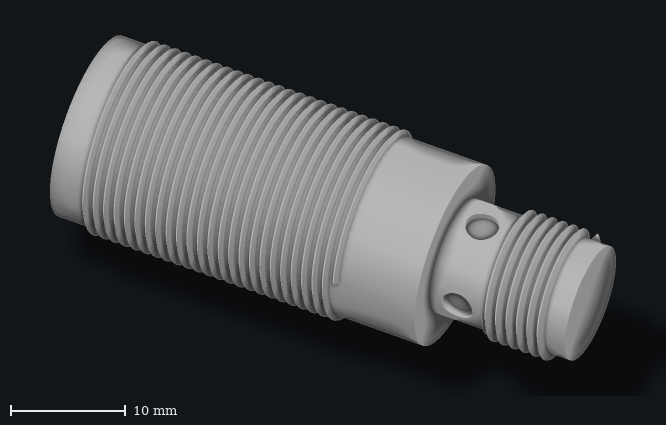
import cadquery as cq

total_length = 48.0
body_length = 35.0
body_radius = 8.35
connector_radius = 5.3

pitch_span = 24.0
pitch_span_turns = 24
pitch = pitch_span / pitch_span_turns
thread_embed = 0.15

body_crest_radius = 8.9
body_thread_start = 2.7
body_thread_sweep_angle = 8900.0
body_thread_half_width = 0.35
body_thread_start_angle = -90.0

connector_crest_radius = 6.0
connector_thread_start = 39.7
connector_thread_sweep_angle = 2370.0
connector_thread_half_width = 0.41
connector_thread_start_angle = 180.0
neck_end = 40.05

hole_x = 37.65
hole_radius = 1.5
hole_depth = 0.95
hole_count = 4


def x_cylinder(radius, start, end):
    return cq.Workplane("YZ").workplane(offset=start).circle(radius).extrude(end - start)


def thread_ridge(root_radius, crest_radius, half_width, sweep_angle, start, start_angle):
    """Triangular helical ridge about X; the angle runs from +Y towards +Z."""
    inner_radius = root_radius - thread_embed
    base_half_width = half_width * (crest_radius - inner_radius) / (crest_radius - root_radius)
    path = cq.Wire.makeHelix(pitch, pitch * sweep_angle / 360, inner_radius)
    ridge = (
        cq.Workplane("XZ")
        .moveTo(inner_radius, -base_half_width)
        .lineTo(crest_radius, 0)
        .lineTo(inner_radius, base_half_width)
        .close()
        .sweep(cq.Workplane(path), isFrenet=True)
    )
    ridge = ridge.rotate((0, 0, 0), (0, 0, 1), 90).rotate((0, 0, 0), (0, 1, 0), 90)
    return ridge.rotate((0, 0, 0), (1, 0, 0), start_angle).translate((start, 0, 0))


def neck_holes():
    hole = (
        cq.Workplane("XY")
        .workplane(offset=connector_radius - hole_depth)
        .center(hole_x, 0)
        .circle(hole_radius)
        .extrude(2 * hole_depth)
    )
    holes = hole
    for index in range(1, hole_count):
        holes = holes.add(hole.rotate((0, 0, 0), (1, 0, 0), index * 360 / hole_count))
    return holes.combine()


body_thread = thread_ridge(
    body_radius,
    body_crest_radius,
    body_thread_half_width,
    body_thread_sweep_angle,
    body_thread_start,
    body_thread_start_angle,
)

connector_thread = thread_ridge(
    connector_radius,
    connector_crest_radius,
    connector_thread_half_width,
    connector_thread_sweep_angle,
    connector_thread_start,
    connector_thread_start_angle,
).intersect(x_cylinder(body_radius, neck_end, total_length))

body = x_cylinder(body_radius, 0, body_length).union(body_thread)
connector = x_cylinder(connector_radius, body_length, total_length).union(connector_thread)
result = body.union(connector).cut(neck_holes())